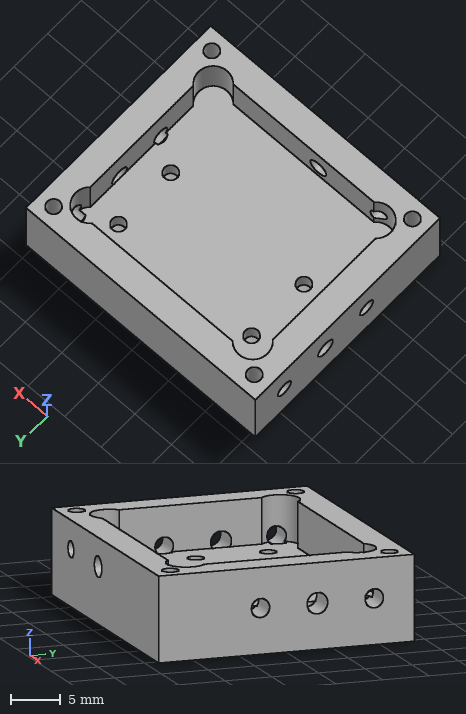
import cadquery as cq
import math

LENGTH = 31.4
WIDTH = 27.4
HEIGHT = 9.0

WALL = 3.23
FLOOR_Z = 4.2
RELIEF_RADIUS = 2.0
RELIEF_INSET = 4.6

SCREW_DIAMETER = 1.7
CORNER_HOLE_INSET = 1.98
FLOOR_HOLE_INSET = 6.6
FLOOR_HOLE_SPACING = 7.75
FLOOR_HOLE_DEPTH = 2.0
DRILL_POINT_ANGLE = 118.0

END_PORT_Z = 4.8
END_PORT_Y = 3.3
END_PORT_SPACING = 6.1
END_PORT_DIAMETER = 2.2
SIDE_DRILL_DIAMETER = 1.95
SIDE_DRILL_DEPTH = 3.52

FRONT_PORT_Z = 6.0
FRONT_SMALL_X = 5.7 - LENGTH / 2
FRONT_LARGE_X = 13.7 - LENGTH / 2
FRONT_LARGE_DIAMETER = 2.17


def drill(diameter, depth, start, direction):
    """Blind drill cut: a cylinder of the given depth followed by a cone point."""
    radius = diameter / 2
    tip_length = radius / math.tan(math.radians(DRILL_POINT_ANGLE / 2))
    start = cq.Vector(*start)
    direction = cq.Vector(*direction)
    shank = cq.Solid.makeCylinder(radius, depth, start, direction)
    tip = cq.Solid.makeCone(radius, 0, tip_length, start + direction * depth, direction)
    return shank.fuse(tip)


def straight_hole(diameter, depth, start, direction):
    """Flat-ended round cut."""
    return cq.Solid.makeCylinder(diameter / 2, depth, cq.Vector(*start), cq.Vector(*direction))


def corner_points(inset):
    """The four points set in from both edges at each corner of the block."""
    return cq.Workplane().rect(LENGTH - 2 * inset, WIDTH - 2 * inset).vertices().vals()


def make_pocket():
    depth = HEIGHT - FLOOR_Z
    base = cq.Workplane().workplane(offset=FLOOR_Z)
    pocket = base.rect(LENGTH - 2 * WALL, WIDTH - 2 * WALL).extrude(depth)
    reliefs = (
        base.rect(LENGTH - 2 * RELIEF_INSET, WIDTH - 2 * RELIEF_INSET, forConstruction=True)
        .vertices()
        .circle(RELIEF_RADIUS)
        .extrude(depth)
    )
    return pocket.union(reliefs)


block = cq.Workplane().box(LENGTH, WIDTH, HEIGHT, centered=(True, True, False))
result = block.cut(make_pocket())

for corner in corner_points(CORNER_HOLE_INSET):
    corner_hole = straight_hole(SCREW_DIAMETER, HEIGHT, (corner.X, corner.Y, 0), (0, 0, 1))
    result = result.cut(cq.Workplane(corner_hole))

rear_hole_y = WIDTH / 2 - FLOOR_HOLE_INSET
for side in (-1, 1):
    for hole_y in (rear_hole_y, rear_hole_y - FLOOR_HOLE_SPACING):
        start = (side * (LENGTH / 2 - FLOOR_HOLE_INSET), hole_y, FLOOR_Z)
        floor_hole = drill(SCREW_DIAMETER, FLOOR_HOLE_DEPTH, start, (0, 0, -1))
        result = result.cut(cq.Workplane(floor_hole))

for side in (-1, 1):
    inward = (-side, 0, 0)
    port_start = (side * LENGTH / 2, END_PORT_Y, END_PORT_Z)
    result = result.cut(cq.Workplane(straight_hole(END_PORT_DIAMETER, WALL, port_start, inward)))
    for offset in (-END_PORT_SPACING, END_PORT_SPACING):
        start = (side * LENGTH / 2, END_PORT_Y + offset, END_PORT_Z)
        side_hole = drill(SIDE_DRILL_DIAMETER, SIDE_DRILL_DEPTH, start, inward)
        result = result.cut(cq.Workplane(side_hole))

for port_x, diameter in ((FRONT_SMALL_X, SCREW_DIAMETER), (FRONT_LARGE_X, FRONT_LARGE_DIAMETER)):
    front_port = straight_hole(diameter, WALL, (port_x, -WIDTH / 2, FRONT_PORT_Z), (0, 1, 0))
    result = result.cut(cq.Workplane(front_port))